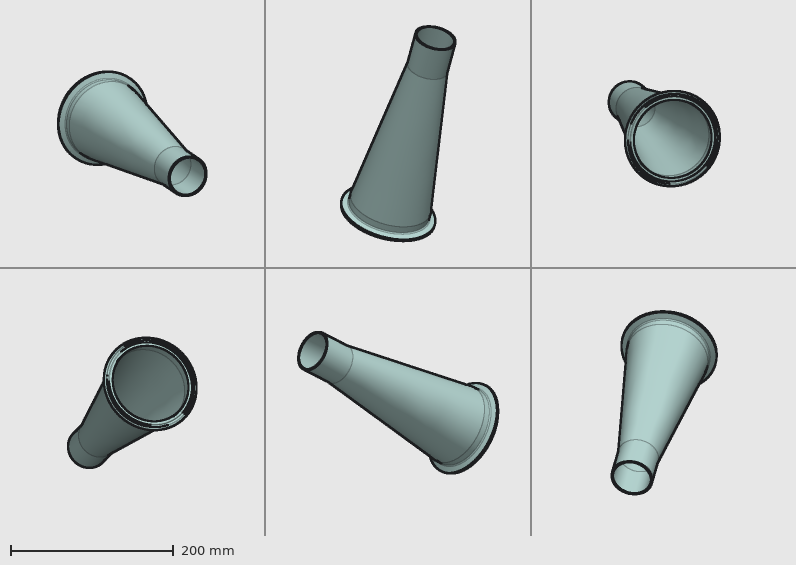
import cadquery as cq
import math

LENGTH = 263.5
FLANGE_DIAMETER = 118.8
LARGE_OUTER_DIAMETER = 101.7
LARGE_BORE_DIAMETER = 97.5
SMALL_OUTER_DIAMETER = 50.9
SMALL_BORE_DIAMETER = 47.5

LARGE_COLLAR_LENGTH = 15.8
SMALL_TUBE_LENGTH = 44.3

RIM_WIDTH = 3.0
BACK_ANGLE = 20.0
FACE_EDGE_ROUND = 0.5
ROOT_FILLET = 1.8

GROOVE_DIAMETER = 109.4
GROOVE_WIDTH = 3.0
GROOVE_DEPTH = 1.3
GROOVE_LIP_ROUND = 0.4

SELECTION_MARGIN = 0.03

flange_radius = FLANGE_DIAMETER / 2
large_radius = LARGE_OUTER_DIAMETER / 2
small_radius = SMALL_OUTER_DIAMETER / 2
cone_end = LENGTH - SMALL_TUBE_LENGTH
flange_back = RIM_WIDTH + (flange_radius - large_radius) * math.tan(math.radians(BACK_ANGLE))


def circle_edge(solid, x, radius):
    """Select the circular edge around the axis at the given place and radius."""
    reach = radius + SELECTION_MARGIN
    return solid.edges(
        cq.selectors.BoxSelector(
            (x - SELECTION_MARGIN, -reach, -reach),
            (x + SELECTION_MARGIN, reach, reach),
            boundingbox=True,
        )
    ).edges(cq.selectors.RadiusNthSelector(-1))


def revolve_about_x(profile):
    """Turn a closed profile, drawn as (axial place, radius), about the X axis."""
    return profile.close().revolve(360, (0, 0, 0), (1, 0, 0))


def make_outer_body():
    """Flange, collar, cone and small tube as one solid of revolution."""
    body = revolve_about_x(
        cq.Workplane("XY")
        .moveTo(0, 0)
        .lineTo(0, flange_radius)
        .lineTo(RIM_WIDTH, flange_radius)
        .lineTo(flange_back, large_radius)
        .lineTo(LARGE_COLLAR_LENGTH, large_radius)
        .lineTo(cone_end, small_radius)
        .lineTo(LENGTH, small_radius)
        .lineTo(LENGTH, 0)
    )
    body = circle_edge(body, 0, flange_radius).fillet(FACE_EDGE_ROUND)
    return circle_edge(body, flange_back, large_radius).fillet(ROOT_FILLET)


def make_bore():
    """Straight, tapered and straight passage through the whole length."""
    return revolve_about_x(
        cq.Workplane("XY")
        .moveTo(0, 0)
        .lineTo(0, LARGE_BORE_DIAMETER / 2)
        .lineTo(LARGE_COLLAR_LENGTH, LARGE_BORE_DIAMETER / 2)
        .lineTo(cone_end, SMALL_BORE_DIAMETER / 2)
        .lineTo(LENGTH, SMALL_BORE_DIAMETER / 2)
        .lineTo(LENGTH, 0)
    )


def make_groove():
    """Ring with a round bottom that seats the gasket."""
    middle = GROOVE_DIAMETER / 2
    inner = middle - GROOVE_WIDTH / 2
    outer = middle + GROOVE_WIDTH / 2
    return revolve_about_x(
        cq.Workplane("XY")
        .moveTo(0, inner)
        .threePointArc((GROOVE_DEPTH, middle), (0, outer))
    )


def round_groove_lips(solid):
    """Soften both edges where the groove meets the flange face."""
    for side in (-1, 1):
        lip_radius = (GROOVE_DIAMETER + side * GROOVE_WIDTH) / 2
        solid = circle_edge(solid, 0, lip_radius).fillet(GROOVE_LIP_ROUND)
    return solid


result = round_groove_lips(make_outer_body().cut(make_bore()).cut(make_groove()))